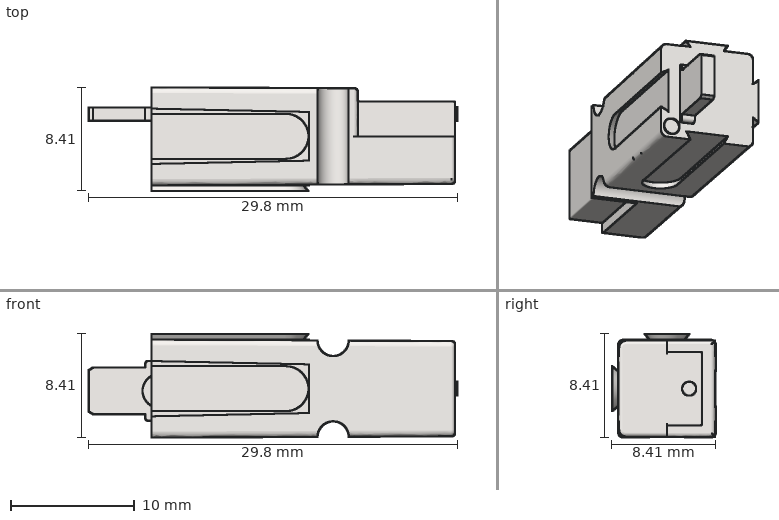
import cadquery as cq
import math


overall_length = 29.82
blade_length = 5.07
pin_length = 0.18
housing_length = overall_length - blade_length - pin_length
rear_size = 7.93
mating_size = 7.72
corner_radius = 0.48
end_radius = 0.3

notch_x = 14.7
notch_radius = 1.25

wall_end_x = 16.7
lug_inset_z = 0.9
lug_inset_y = 1.13
lug_edge_radius = 0.12
lug_root_radius = 0.1

tongue_height = 0.48
tongue_neck = 2.9
tongue_width = 3.65
groove_depth = 0.65
groove_mouth = 2.9
groove_width = 3.58
dovetail_length = 12.7

pad_length = 12.75
pad_rear_width = 4.47
pad_tip_width = 3.95

blade_height = 3.8
blade_thickness = 1.1
blade_y = 1.8
blade_z = -0.18
blade_chamfer_x = 0.35
blade_chamfer_z = 0.2
shoulder_height = 4.85
shoulder_length = 0.5
shoulder_radius = 0.27
dimple_radius = 1.37
dimple_x = 0.65
dimple_depth = 0.05

pin_diameter = 1.13

recess_diameter = 1.3
recess_y = 3.05
recess_z = -3.0
recess_depth = 0.1

half_rear = rear_size / 2
clearance = 0.3
embed = 0.9


def block(x_range, y_range, z_range):
    """Box between the given limits."""
    sizes = [high - low for low, high in (x_range, y_range, z_range)]
    corner = (x_range[0], y_range[0], z_range[0])
    return cq.Workplane("XY").box(*sizes, centered=False).translate(corner)


def housing_size(x):
    """Side of the drafted square section at a given X."""
    return rear_size + (mating_size - rear_size) * x / housing_length


def shell(start_x, end_x, rounded_corners):
    """Stretch of the drafted housing with the selected corners rounded."""
    outline = cq.Workplane("YZ")
    sections = []
    for x in (start_x, end_x):
        size = housing_size(x)
        section = cq.Sketch().rect(size, size).vertices(rounded_corners).fillet(corner_radius)
        sections.append(section.moved(cq.Location(cq.Vector(0, 0, x))))
    return outline.placeSketch(*sections).loft()


def dovetail(narrow_width, wide_width, height):
    """Round-tipped dovetail rising from Z = 0, narrow at the bottom, cut off flat at X = 0."""
    spread = (wide_width - narrow_width) / 2
    flare_angle = math.degrees(math.atan2(spread, height))
    half_width = narrow_width / 2
    arc_x = dovetail_length - wide_width / 2
    start_x = -spread - clearance
    solid = (
        cq.Workplane("XY")
        .moveTo(start_x, -half_width)
        .lineTo(arc_x, -half_width)
        .threePointArc((arc_x + half_width, 0), (arc_x, half_width))
        .lineTo(start_x, half_width)
        .close()
        .extrude(height, taper=-flare_angle)
    )
    return solid.intersect(block((0, dovetail_length), (-wide_width, wide_width), (0, height)))


def tongue():
    """Dovetail tongue on its pad, placed on the top of the housing."""
    pad = (
        cq.Workplane("XY", origin=(0, 0, half_rear - tongue_height))
        .polyline([
            (0, -pad_rear_width / 2),
            (pad_length, -pad_tip_width / 2),
            (pad_length, pad_tip_width / 2),
            (0, pad_rear_width / 2),
        ])
        .close()
        .extrude(tongue_height)
    )
    rail = dovetail(tongue_neck, tongue_width, tongue_height).translate((0, 0, half_rear))
    return pad.union(rail)


def groove():
    """Dovetail groove cutter, placed on the bottom of the housing."""
    cutter = dovetail(groove_mouth, groove_width, groove_depth)
    return cutter.translate((0, 0, -half_rear))


def turned(solid, angle):
    """Solid turned about the X axis."""
    return solid.rotate((0, 0, 0), (1, 0, 0), angle)


def mating_end():
    """Hood, wall and lug ahead of the finger notches."""
    front = shell(notch_x, housing_length, "<X")
    x_range = (notch_x, housing_length)
    full = (-rear_size, rear_size)
    hood = front.intersect(block(x_range, (-rear_size, 0), full))
    hood = hood.faces(">X").edges("not >Y").fillet(end_radius)
    wall = front.intersect(block((notch_x, wall_end_x), (0, rear_size), full))
    wall = wall.faces(">X").edges("not <Y").fillet(end_radius)
    half_lug = mating_size / 2 - lug_inset_z
    lug_side = half_rear - lug_inset_y
    lug = block((wall_end_x - embed, housing_length), (0, lug_side), (-half_lug, half_lug))
    lug = lug.edges(">X or (>Y and |X)").edges("not <Y").fillet(lug_edge_radius)
    reach = lug_root_radius / 2
    lug_root = cq.selectors.BoxSelector(
        (wall_end_x - reach, reach, -half_lug - reach),
        (wall_end_x + reach, lug_side + reach, half_lug + reach),
    )
    lug_half = wall.union(lug)
    lug_half = lug_half.edges(lug_root).fillet(lug_root_radius)
    return hood.union(lug_half)


def blade():
    """Contact blade with its shoulder, reaching into the housing."""
    half_height = blade_height / 2
    half_shoulder = shoulder_height / 2
    tip = -blade_length
    blank = (
        cq.Workplane("XZ")
        .polyline([
            (embed, -half_height),
            (tip + blade_chamfer_x, -half_height),
            (tip, -half_height + blade_chamfer_z),
            (tip, half_height - blade_chamfer_z),
            (tip + blade_chamfer_x, half_height),
            (embed, half_height),
        ])
        .close()
        .extrude(blade_thickness / 2, both=True)
    )
    half_thickness = blade_thickness / 2
    shoulder = block(
        (-shoulder_length, embed),
        (-half_thickness, half_thickness),
        (-half_shoulder, half_shoulder),
    )
    shoulder = shoulder.edges("|Y and <X").fillet(shoulder_radius)
    dimple = (
        cq.Workplane("XZ", origin=(dimple_x, -half_thickness + dimple_depth, 0))
        .circle(dimple_radius)
        .extrude(clearance)
    )
    return blank.union(shoulder).cut(dimple).translate((0, blade_y, blade_z))


result = shell(0, notch_x, "<X or >X").union(mating_end())
notch = cq.Workplane("XZ").circle(notch_radius).extrude(rear_size, both=True)
for side in (1, -1):
    result = result.cut(notch.translate((notch_x, 0, side * housing_size(notch_x) / 2)))

for angle in (0, 90):
    result = result.union(turned(tongue(), angle))
    result = result.cut(turned(groove(), angle))

recess = cq.Workplane("YZ").center(recess_y, recess_z).circle(recess_diameter / 2).extrude(recess_depth)
result = result.cut(recess)

pin = (
    cq.Workplane("YZ", origin=(housing_length - embed, blade_y, 0))
    .circle(pin_diameter / 2)
    .extrude(embed + pin_length)
)
result = result.union(blade()).union(pin)